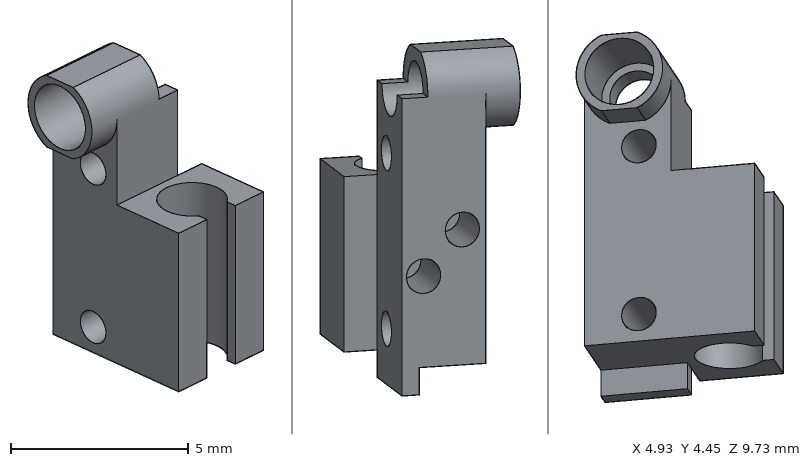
import cadquery as cq

total_width = 4.93
total_depth = 4.45
total_height = 9.73

arm_width = 2.51
arm_front = 1.01
arm_back = 3.47
tongue_height = 0.79
tongue_thickness = 0.51

barrel_diameter = arm_width
barrel_flats = 2.29
barrel_length = 2.71
barrel_x = arm_width / 2
barrel_z = total_height - barrel_flats / 2
bore_diameter = 1.53
counterbore_diameter = 1.99
counterbore_depth = 2.0

block_top = 5.86
block_center_y = (arm_front + total_depth) / 2
socket_x = 3.79
socket_diameter = 1.99
slot_width = 1.15

pin_diameter = 1.0
through_pin_x = 1.58
through_pin_heights = (1.61, 6.67)
side_pin_depth = 2.0
side_pin_places = ((1.7, 4.7), (2.84, 3.425))


def box(x_range, y_range, z_range):
    """Box spanning the given (low, high) range on each axis."""
    lows, highs = zip(x_range, y_range, z_range)
    sizes = [high - low for low, high in zip(lows, highs)]
    return cq.Workplane("XY").box(*sizes, centered=False).translate(lows)


def rod_along_y(x, z, diameter, length):
    """Cylinder parallel to Y, starting at y = 0."""
    return cq.Workplane("XZ").center(x, z).circle(diameter / 2).extrude(-length)


def make_arm():
    arm = box((0, arm_width), (arm_front, arm_back), (tongue_height, barrel_z))
    tongue = box((0, arm_width), (arm_back - tongue_thickness, arm_back), (0, tongue_height))
    return arm.union(tongue)


def make_barrel():
    barrel = rod_along_y(barrel_x, barrel_z, barrel_diameter, barrel_length)
    flats = box((0, arm_width), (0, barrel_length), (total_height - barrel_flats, total_height))
    return barrel.intersect(flats)


def make_block():
    block = box((arm_width, total_width), (arm_front, total_depth), (tongue_height, block_top))
    socket = (
        cq.Workplane("XY")
        .center(socket_x, block_center_y)
        .circle(socket_diameter / 2)
        .extrude(total_height)
    )
    slot = box(
        (socket_x, total_width),
        (block_center_y - slot_width / 2, block_center_y + slot_width / 2),
        (0, total_height),
    )
    return block.cut(socket).cut(slot)


def make_side_pin(y, z):
    return cq.Workplane("YZ").center(y, z).circle(pin_diameter / 2).extrude(side_pin_depth)


result = make_arm().union(make_barrel()).union(make_block())

result = result.cut(rod_along_y(barrel_x, barrel_z, bore_diameter, total_depth))
result = result.cut(rod_along_y(barrel_x, barrel_z, counterbore_diameter, counterbore_depth))

for pin_z in through_pin_heights:
    result = result.cut(rod_along_y(through_pin_x, pin_z, pin_diameter, total_depth))

for pin_y, pin_z in side_pin_places:
    result = result.cut(make_side_pin(pin_y, pin_z))